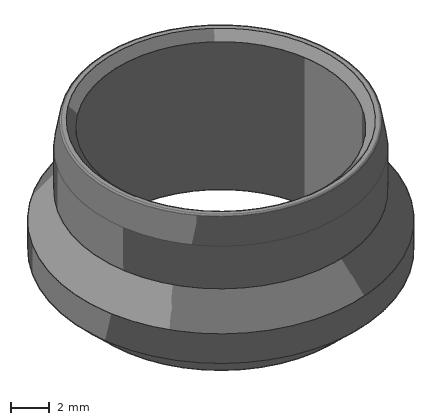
import cadquery as cq
import math

height = 10.0
flange_radius = 20.0 / 2
neck_radius = 17.3 / 2
bore_radius = 15.0 / 2

base_chamfer = 1.7
flange_top = 3.6
neck_bottom = 5.5
neck_top = 8.25

tip_taper_angle = 10.0
rim_outer_radius = neck_radius - (height - neck_top) * math.tan(math.radians(tip_taper_angle))
rim_fillet = 0.1
mouth_radius = 8.0
mouth_depth = mouth_radius - bore_radius

half_section = [
    (bore_radius, 0),
    (flange_radius - base_chamfer, 0),
    (flange_radius, base_chamfer),
    (flange_radius, flange_top),
    (neck_radius, neck_bottom),
    (neck_radius, neck_top),
    (rim_outer_radius, height),
    (mouth_radius, height),
    (bore_radius, height - mouth_depth),
]
ring = cq.Workplane("XZ").polyline(half_section).close().revolve(360, (0, 0), (0, 1))

outer_rim_edge = cq.selectors.RadiusNthSelector(-1)
result = ring.faces(">Z").edges(outer_rim_edge).fillet(rim_fillet)